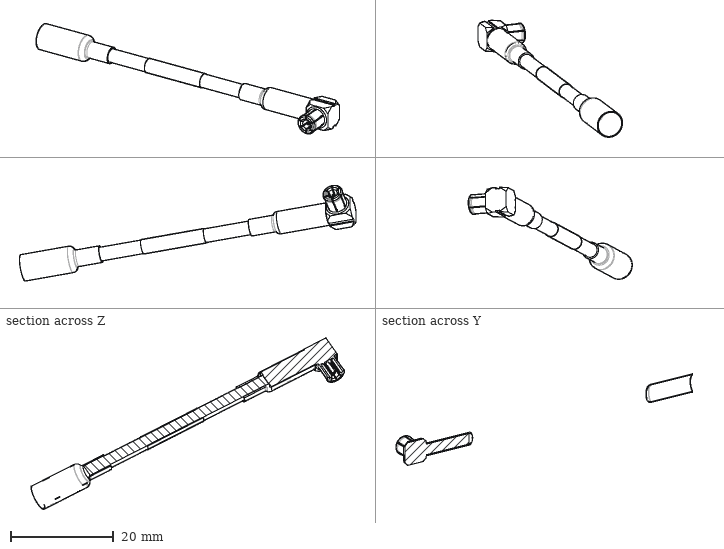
import cadquery as cq

TOTAL_LENGTH = 66.6
TOTAL_DEPTH = 8.7

CABLE_RADIUS = 2.7 / 2
MARKER_RADIUS = 1.45
MARKER_START = 24.1
MARKER_END = 36.75

NECK_RADIUS = 1.65
NECK_LENGTH = 4.65
MOUTH_WALL = 0.2
SHOULDER_TOE = 0.4

SOCKET_RADIUS = 5.25 / 2
SOCKET_MOUTH_LENGTH = 9.65
SOCKET_SHOULDER = 1.4

BOOT_RADIUS = 4.45 / 2
BOOT_MOUTH_LENGTH = 9.9
BOOT_SHOULDER = 1.1

BLOCK_LENGTH = 5.0
BLOCK_BACK_Y = 2.2
BLOCK_FRONT_Y = -2.1
BLOCK_HEIGHT = 4.85
CORNER_CUT = 0.9
CORNER_CUT_DEPTH = 1.4
GROOVE_WIDTH = 0.8
GROOVE_DEPTH = 0.25
GROOVE_CENTRE_Y = 0.4

PLUG_OFFSET = 0.05
PLUG_TIP_Y = SOCKET_RADIUS - TOTAL_DEPTH
BOSS_RADIUS = 2.25
BOSS_HEIGHT = 0.1
BARREL_RADIUS = 3.8 / 2
BEAD_RADIUS = 3.9 / 2
BEAD_LENGTH = 0.8
BEAD_RAMP = 0.25
TIP_CHAMFER = 0.25
BORE_RADIUS = 0.9
BORE_CHAMFER = 0.3
SLOT_COUNT = 6
SLOT_WIDTH = 0.2
SLOT_START_Y = -2.5
CONTACT_RADIUS = 0.3
CONTACT_CHAMFER = 0.1
CONTACT_RECESS = 0.8

BLOCK_START = TOTAL_LENGTH - BLOCK_LENGTH
BLOCK_CENTRE_X = BLOCK_START + BLOCK_LENGTH / 2
BLOCK_DEPTH = BLOCK_BACK_Y - BLOCK_FRONT_Y
BLOCK_CENTRE_Y = (BLOCK_BACK_Y + BLOCK_FRONT_Y) / 2
PLUG_CENTRE_X = BLOCK_CENTRE_X - PLUG_OFFSET
STUB_START = BLOCK_START - BOOT_MOUTH_LENGTH
CABLE_START = SOCKET_MOUTH_LENGTH + SOCKET_SHOULDER
CABLE_END = STUB_START


def x_cylinder(radius, start, end):
    return cq.Workplane("YZ", origin=(start, 0, 0)).circle(radius).extrude(end - start)


def y_cylinder(radius, start, end):
    """Cylinder on the plug axis, from Y = start toward -Y."""
    return cq.Workplane("XZ", origin=(PLUG_CENTRE_X, start, 0)).circle(radius).extrude(start - end)


def stepped_rod(mouth_radius, neck_radius, mouth_length, shoulder):
    """Solid of revolution with its mouth at X = 0, narrowing to a neck along +X."""
    neck_start = mouth_length + shoulder
    toe_share = SHOULDER_TOE / shoulder
    meet_x = neck_start - SHOULDER_TOE
    meet_radius = neck_radius + (mouth_radius - neck_radius) * toe_share
    return (
        cq.Workplane("XY")
        .lineTo(0, mouth_radius)
        .lineTo(mouth_length, mouth_radius)
        .tangentArcPoint((meet_x, meet_radius), relative=False)
        .tangentArcPoint((neck_start, neck_radius), relative=False)
        .lineTo(neck_start + NECK_LENGTH, neck_radius)
        .lineTo(neck_start + NECK_LENGTH, 0)
        .close()
        .revolve(360, (0, 0, 0), (1, 0, 0))
    )


def shrink_sleeve(mouth_radius, mouth_length, shoulder):
    outside = stepped_rod(mouth_radius, NECK_RADIUS, mouth_length, shoulder)
    inside = stepped_rod(mouth_radius - MOUTH_WALL, CABLE_RADIUS, mouth_length, shoulder)
    return outside.cut(inside)


def make_socket_sleeve():
    return shrink_sleeve(SOCKET_RADIUS, SOCKET_MOUTH_LENGTH, SOCKET_SHOULDER)


def make_boot_sleeve():
    """Sleeve over the plug stub, with its mouth against the block."""
    sleeve = shrink_sleeve(BOOT_RADIUS, BOOT_MOUTH_LENGTH, BOOT_SHOULDER)
    return sleeve.rotate((0, 0, 0), (0, 0, 1), 180).translate((BLOCK_START, 0, 0))


def make_cable():
    return x_cylinder(CABLE_RADIUS, CABLE_START, CABLE_END)


def make_marker():
    marker = x_cylinder(MARKER_RADIUS, MARKER_START, MARKER_END)
    return marker.cut(x_cylinder(CABLE_RADIUS, MARKER_START, MARKER_END))


def corner_cutter(side_x, side_y, side_z):
    """Tetrahedron that removes one corner of a block centred on the origin."""
    corner = cq.Vector(side_x * BLOCK_LENGTH / 2, side_y * BLOCK_DEPTH / 2, side_z * BLOCK_HEIGHT / 2)
    along_x = corner - cq.Vector(side_x * CORNER_CUT, 0, 0)
    along_y = corner - cq.Vector(0, side_y * CORNER_CUT_DEPTH, 0)
    along_z = corner - cq.Vector(0, 0, side_z * CORNER_CUT)
    triangles = [
        (corner, along_x, along_y),
        (corner, along_y, along_z),
        (corner, along_z, along_x),
        (along_x, along_y, along_z),
    ]
    faces = [cq.Face.makeFromWires(cq.Wire.makePolygon(list(t), close=True)) for t in triangles]
    return cq.Solid.makeSolid(cq.Shell.makeShell(faces))


def make_block():
    block = cq.Workplane("XY").box(BLOCK_LENGTH, BLOCK_DEPTH, BLOCK_HEIGHT)
    for side_x in (-1, 1):
        for side_y in (-1, 1):
            for side_z in (-1, 1):
                block = block.cut(cq.Workplane(corner_cutter(side_x, side_y, side_z)))
    groove = cq.Workplane("XY").box(BLOCK_LENGTH, GROOVE_WIDTH, GROOVE_DEPTH)
    groove_z = (BLOCK_HEIGHT - GROOVE_DEPTH) / 2
    for side_z in (-1, 1):
        block = block.cut(groove.translate((0, GROOVE_CENTRE_Y - BLOCK_CENTRE_Y, side_z * groove_z)))
    return block.translate((BLOCK_CENTRE_X, BLOCK_CENTRE_Y, 0))


def make_barrel():
    """Beaded tube on a conical boss, turned about the plug axis."""
    boss_end_y = BLOCK_FRONT_Y - BOSS_HEIGHT
    bead_start_y = PLUG_TIP_Y + BEAD_LENGTH
    barrel = (
        cq.Workplane("XY", origin=(PLUG_CENTRE_X, 0, 0))
        .moveTo(0, BLOCK_FRONT_Y)
        .lineTo(BOSS_RADIUS, BLOCK_FRONT_Y)
        .lineTo(BARREL_RADIUS, boss_end_y)
        .lineTo(BARREL_RADIUS, bead_start_y)
        .lineTo(BEAD_RADIUS, bead_start_y - BEAD_RAMP)
        .lineTo(BEAD_RADIUS, PLUG_TIP_Y + TIP_CHAMFER)
        .lineTo(BEAD_RADIUS - TIP_CHAMFER, PLUG_TIP_Y)
        .lineTo(BORE_RADIUS + BORE_CHAMFER, PLUG_TIP_Y)
        .lineTo(BORE_RADIUS, PLUG_TIP_Y + BORE_CHAMFER)
        .lineTo(BORE_RADIUS, SLOT_START_Y)
        .lineTo(0, SLOT_START_Y)
        .close()
        .revolve(360, (0, 0, 0), (0, 1, 0))
    )

    slot_length = SLOT_START_Y - PLUG_TIP_Y
    slot = cq.Workplane("XY").box(SLOT_WIDTH, slot_length, BEAD_RADIUS, centered=(True, False, False))
    slot = slot.translate((PLUG_CENTRE_X, PLUG_TIP_Y, 0))
    plug_axis = ((PLUG_CENTRE_X, 0, 0), (PLUG_CENTRE_X, 1, 0))
    for index in range(SLOT_COUNT):
        barrel = barrel.cut(slot.rotate(*plug_axis, index * 360 / SLOT_COUNT))
    return barrel


def make_plug():
    contact = (
        y_cylinder(CONTACT_RADIUS, BLOCK_FRONT_Y, PLUG_TIP_Y + CONTACT_RECESS)
        .faces("<Y")
        .chamfer(CONTACT_CHAMFER)
    )
    stub = x_cylinder(BOOT_RADIUS - MOUTH_WALL, STUB_START, BLOCK_START)
    return make_block().union(stub).union(make_barrel()).union(contact)


socket_sleeve = make_socket_sleeve()
cable = make_cable()
marker = make_marker()
boot_sleeve = make_boot_sleeve()
plug = make_plug()

result = cq.Compound.makeCompound(
    [socket_sleeve.val(), cable.val(), marker.val(), boot_sleeve.val(), plug.val()]
)